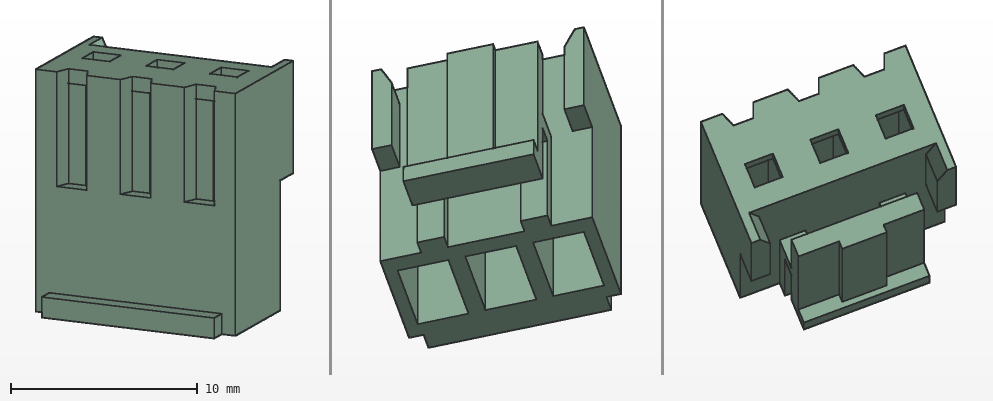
import cadquery as cq

height = 13.46
width = 11.79
body_depth = 5.75

ledge_width = 10.18
ledge_depth = 0.97
ledge_height = 1.15

wing_back = 7.39
wing_bottom = 7.21
wing_tip = 0.51
wing_thickness = 1.09
wing_taper_height = 1.24

contact_count = 3
pitch = 3.77
contact_centers = [(i - (contact_count - 1) / 2) * pitch for i in range(contact_count)]

slot_mouth = 1.78
slot_floor = 1.15
slot_depth = 0.83
slot_length = 6.37

roof_thickness = 0.81
cavity_width = 2.83
cavity_back = 4.85
hole_width = 1.62
hole_front = 3.1
hole_back = 4.52

latch_width = 7.24
arm_gap = 4.25
leg_back = 6.51
bridge_bottom = 5.96
bridge_top = 7.11
latch_front = 7.47
latch_back = 8.49
latch_bottom = 1.94
latch_top = 11.82
rib_width = 2.56
rib_back = 8.95
hook_back = 9.29
hook_height = 1.15


def centered_block(block_width, y_min, y_max, z_min, z_max, center_x=0.0):
    """Block centred on center_x, spanning the given Y and Z ranges."""
    size_y = y_max - y_min
    size_z = z_max - z_min
    block = cq.Workplane("XY").box(block_width, size_y, size_z, centered=(True, False, False))
    return block.translate((center_x, y_min, z_min))


def make_wing():
    """Right-hand wing, extruded rearwards from the back of the body."""
    outer = width / 2
    outline = [
        (outer, wing_bottom),
        (outer, height),
        (outer - wing_tip, height),
        (outer - wing_thickness, height - wing_taper_height),
        (outer - wing_thickness, wing_bottom),
    ]
    profile = cq.Workplane("XZ", origin=(0, body_depth, 0)).polyline(outline).close()
    return profile.extrude(body_depth - wing_back)


def make_slot(center_x):
    """Front slot that narrows towards its inner wall."""
    outline = [
        (center_x - slot_mouth / 2, 0),
        (center_x + slot_mouth / 2, 0),
        (center_x + slot_floor / 2, slot_depth),
        (center_x - slot_floor / 2, slot_depth),
    ]
    profile = cq.Workplane("XY", origin=(0, 0, height - slot_length)).polyline(outline).close()
    return profile.extrude(slot_length)


def make_contact_cut(center_x):
    """Cavity, roof hole and front slot of one contact."""
    cavity_top = height - roof_thickness
    cavity = centered_block(cavity_width, slot_depth, cavity_back, 0, cavity_top, center_x)
    hole = centered_block(hole_width, hole_front, hole_back, cavity_top, height, center_x)
    return cavity.union(hole).union(make_slot(center_x))


def make_latch():
    """Latch plate with centre rib and bottom hook, joined to the body by two arms."""
    legs = centered_block(latch_width, body_depth, leg_back, 0, bridge_top)
    bridge = centered_block(latch_width, body_depth, latch_front, bridge_bottom, bridge_top)
    gap = centered_block(arm_gap, body_depth, latch_front, 0, bridge_top)
    arms = legs.union(bridge).cut(gap)

    plate = centered_block(latch_width, latch_front, latch_back, latch_bottom, latch_top)
    rib = centered_block(rib_width, latch_back, rib_back, latch_bottom, latch_top)
    hook = centered_block(latch_width, latch_back, hook_back, latch_bottom, latch_bottom + hook_height)
    return arms.union(plate).union(rib).union(hook)


body = centered_block(width, 0, body_depth, 0, height)
ledge = centered_block(ledge_width, -ledge_depth, 0, 0, ledge_height)
wing = make_wing()

result = body.union(ledge).union(wing).union(wing.mirror("YZ")).union(make_latch())
for contact_x in contact_centers:
    result = result.cut(make_contact_cut(contact_x))